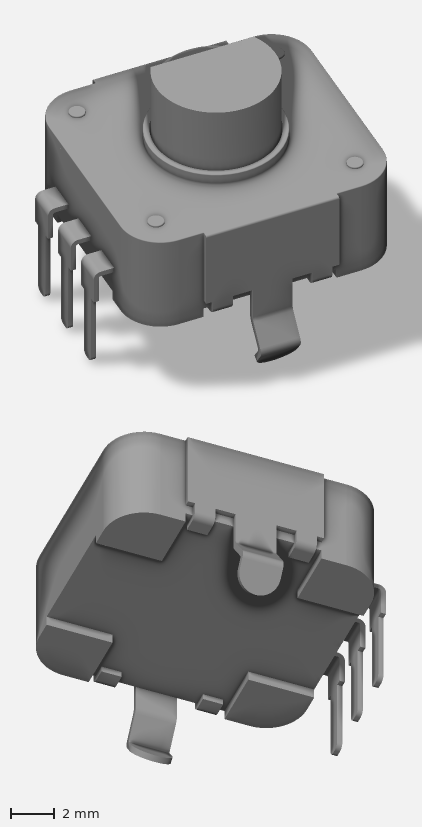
import cadquery as cq
import math


base_width = 11.8
base_length = 13.2
corner_radius = 2.0
slot_along_y_width = 6.0
slot_along_x_width = 6.7
slot_height = 0.5

shaft_diameter = 6.0
shaft_top = 9.0
step_height = 8.0
step_x = -1.5

rivet_diameter = 0.8
rivet_x = 4.31
rivet_y = 5.0
rivet_projection = 0.1

cover_sheet = 0.3
cover_top = 5.0
edge_round = 0.04
collar_diameter = 6.7
collar_bore = 6.1
collar_top = 5.6
collar_foot_round = 0.1
wing_length = 6.7
wing_bottom = 1.0
wing_top_round = 0.1

tab_width = 1.0
tab_center_y = 2.5
tab_reach = 1.0
tab_bend_radius = 0.35

clip_width = 2.0
clip_span = 14.18
clip_bottom = -3.58
clip_angle = math.radians(35.5)
elbow_z = -2.12
elbow_outer_radius = 0.4
upper_bend_radius = 0.31

terminal_pitch = 2.5
terminal_sheet = 0.25
terminal_outer_y = -7.62
terminal_top = 2.0
terminal_bend_radius = 0.35
head_width = 1.4
head_bottom = 0.3
pin_width = 0.8
pin_bottom = -3.5
pin_end_radius = 0.3

base_top = cover_top - cover_sheet
base_side_x = base_width / 2
base_front_y = -base_length / 2
wing_outer_x = base_side_x + cover_sheet
rivet_places = [(sx * rivet_x, sy * rivet_y) for sx in (-1, 1) for sy in (-1, 1)]


def cylinder(diameter, bottom, top):
    return cq.Workplane("XY").workplane(offset=bottom).circle(diameter / 2).extrude(top - bottom)


def rounded_block(bottom, top):
    block = cq.Workplane("XY").workplane(offset=bottom).rect(base_width, base_length)
    return block.extrude(top - bottom).edges("|Z").fillet(corner_radius)


def box_between(x_range, y_range, z_range):
    size = [high - low for low, high in (x_range, y_range, z_range)]
    corner = (x_range[0], y_range[0], z_range[0])
    return cq.Workplane("XY").box(*size, centered=False).translate(corner)


def both_sides(left_part):
    return left_part.union(left_part.mirror("YZ"))


def make_shaft():
    shaft = cylinder(shaft_diameter, base_top, shaft_top)
    shaft_radius = shaft_diameter / 2
    step = box_between((-shaft_radius, step_x), (-shaft_radius, shaft_radius), (step_height, shaft_top))
    return shaft.cut(step)


def make_base():
    """Block on four corner feet, carrying the shaft and the rivets."""
    base = rounded_block(0, base_top)
    crossing_slots = (
        cq.Workplane("XY")
        .rect(slot_along_y_width, base_length)
        .extrude(slot_height)
        .union(cq.Workplane("XY").rect(base_width, slot_along_x_width).extrude(slot_height))
    )
    rivets = (
        cq.Workplane("XY")
        .workplane(offset=base_top)
        .pushPoints(rivet_places)
        .circle(rivet_diameter / 2)
        .extrude(cover_sheet + rivet_projection)
        .faces(">Z")
        .edges()
        .fillet(edge_round)
    )
    return base.cut(crossing_slots).union(make_shaft()).union(rivets)


def make_collar():
    """Ring around the shaft with a rounded top edge and a flared foot."""
    radius = collar_diameter / 2
    half_profile = (
        cq.Workplane("XZ")
        .moveTo(0, base_top)
        .lineTo(radius + collar_foot_round, base_top)
        .lineTo(radius + collar_foot_round, cover_top)
        .radiusArc((radius, cover_top + collar_foot_round), collar_foot_round)
        .lineTo(radius, collar_top)
        .lineTo(0, collar_top)
        .close()
    )
    return half_profile.revolve(360, (0, 0), (0, 1)).faces(">Z").edges().fillet(edge_round)


def make_wing():
    """Left side plate of the cover."""
    half_length = wing_length / 2
    wing = box_between((-wing_outer_x, -base_side_x), (-half_length, half_length), (wing_bottom, cover_top))
    return wing.edges("<X and >Z").fillet(wing_top_round)


def make_tab(center_y):
    """Left tab that drops from the wing and folds under the base."""
    y_range = (center_y - tab_width / 2, center_y + tab_width / 2)
    tab_bottom = slot_height - cover_sheet
    drop = box_between((-wing_outer_x, -base_side_x), y_range, (tab_bottom, wing_bottom))
    fold = box_between((-wing_outer_x, -wing_outer_x + tab_reach), y_range, (tab_bottom, slot_height))
    return drop.union(fold).edges("<X and <Z").fillet(tab_bend_radius)


def make_clip():
    """Left spring clip: down, outwards to the elbow, then back inwards to a rounded end."""
    sine = math.sin(clip_angle)
    cosine = math.cos(clip_angle)
    miter = cover_sheet * math.tan(clip_angle / 2)

    elbow_outer_x = -clip_span / 2 + elbow_outer_radius - elbow_outer_radius / cosine
    elbow_inner_x = elbow_outer_x + cover_sheet / cosine
    bend_z = elbow_z + (-wing_outer_x - elbow_outer_x) / math.tan(clip_angle)

    end_radius = clip_width / 2
    leg_length = (elbow_z - clip_bottom) / cosine - end_radius
    leg_end_x = elbow_outer_x + leg_length * sine
    leg_end_z = elbow_z - leg_length * cosine

    strip = (
        cq.Workplane("XZ", origin=(0, clip_width / 2, 0))
        .moveTo(-wing_outer_x, wing_bottom)
        .lineTo(-wing_outer_x, bend_z)
        .lineTo(elbow_outer_x, elbow_z)
        .lineTo(leg_end_x, leg_end_z)
        .lineTo(leg_end_x + cover_sheet * cosine, leg_end_z + cover_sheet * sine)
        .lineTo(elbow_inner_x, elbow_z)
        .lineTo(-base_side_x, bend_z - miter)
        .lineTo(-base_side_x, wing_bottom)
        .close()
        .extrude(clip_width)
    )
    bends = [
        (-wing_outer_x, bend_z, upper_bend_radius),
        (-base_side_x, bend_z - miter, upper_bend_radius + cover_sheet),
        (elbow_outer_x, elbow_z, elbow_outer_radius),
        (elbow_inner_x, elbow_z, elbow_outer_radius - cover_sheet),
    ]
    for x, z, radius in bends:
        strip = strip.edges(cq.NearestToPointSelector((x, 0, z))).fillet(radius)

    leg_plane = cq.Plane(
        origin=(leg_end_x, 0, leg_end_z),
        xDir=(sine, 0, -cosine),
        normal=(cosine, 0, sine),
    )
    rounded_end = (
        cq.Workplane(leg_plane)
        .moveTo(0, -end_radius)
        .threePointArc((end_radius, 0), (0, end_radius))
        .close()
        .extrude(cover_sheet)
    )
    return strip.union(rounded_end)


def make_cover():
    """Sheet-metal cover with its collar, side wings, tabs and clips."""
    plate = rounded_block(base_top, cover_top).faces(">Z").edges().fillet(edge_round)
    half_length = wing_length / 2
    bridge = box_between((-base_side_x, 0), (-half_length, half_length), (base_top, cover_top))
    left_side = bridge.union(make_wing()).union(make_clip())
    for center_y in (-tab_center_y, tab_center_y):
        left_side = left_side.union(make_tab(center_y))

    shaft_bore = cylinder(collar_bore, base_top, collar_top)
    rivet_holes = (
        cq.Workplane("XY")
        .workplane(offset=base_top)
        .pushPoints(rivet_places)
        .circle(rivet_diameter / 2)
        .extrude(cover_sheet)
    )
    cover = plate.union(both_sides(left_side)).union(make_collar())
    return cover.cut(shaft_bore).cut(rivet_holes)


def make_terminal(center_x):
    """Strip that leaves the front of the base, bends down and narrows to a pin."""
    bent_strip = (
        cq.Workplane("YZ", origin=(center_x - head_width / 2, 0, 0))
        .moveTo(base_front_y, terminal_top)
        .lineTo(terminal_outer_y, terminal_top)
        .lineTo(terminal_outer_y, head_bottom)
        .lineTo(terminal_outer_y + terminal_sheet, head_bottom)
        .lineTo(terminal_outer_y + terminal_sheet, terminal_top - terminal_sheet)
        .lineTo(base_front_y, terminal_top - terminal_sheet)
        .close()
        .extrude(head_width)
    )
    inner_corner = (center_x, terminal_outer_y + terminal_sheet, terminal_top - terminal_sheet)
    bent_strip = bent_strip.edges("<Y and >Z").fillet(terminal_bend_radius)
    bent_strip = bent_strip.edges(cq.NearestToPointSelector(inner_corner)).fillet(
        terminal_bend_radius - terminal_sheet
    )
    pin = box_between(
        (center_x - pin_width / 2, center_x + pin_width / 2),
        (terminal_outer_y, terminal_outer_y + terminal_sheet),
        (pin_bottom, head_bottom),
    )
    pin = pin.edges("|Y and <Z").fillet(pin_end_radius)
    return bent_strip.union(pin)


base = make_base()
cover = make_cover()
terminals = [make_terminal(index * terminal_pitch) for index in (-1, 0, 1)]

result = cq.Compound.makeCompound([base.val(), cover.val(), *[terminal.val() for terminal in terminals]])